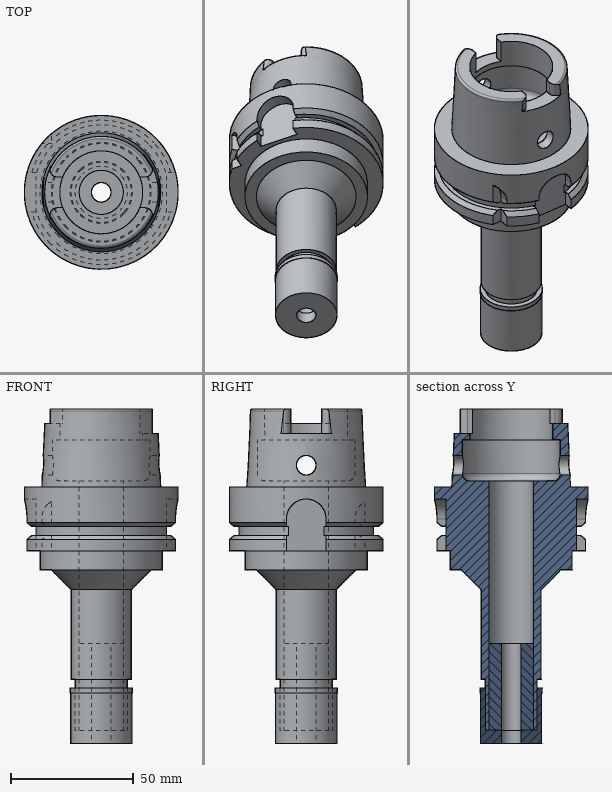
import cadquery as cq
import math

OVERALL_HEIGHT = 137.0
FLANGE_TOP = 105.1
GROOVE_UPPER_EDGE = FLANGE_TOP - 14.5
GROOVE_UPPER_WALL = FLANGE_TOP - 16.2
GROOVE_LOWER_WALL = FLANGE_TOP - 19.9
GROOVE_LOWER_EDGE = FLANGE_TOP - 21.5
FLANGE_BOTTOM = FLANGE_TOP - 26.2
COLLAR_BOTTOM = FLANGE_TOP - 34.0
SHANK_TOP = FLANGE_TOP - 42.0
SHANK_BOTTOM = 26.3
NUT_TOP = 22.9
NUT_BAND_BOTTOM = 20.8
NUT_LIP_HEIGHT = 5.5

TAPER_TOP_RADIUS = 22.9
TAPER_BASE_RADIUS = 24.4
TAPER_EDGE_ROUNDING = 1.0
FLANGE_RADIUS = 31.5
GROOVE_CHAMFER = 1.9
GROOVE_RADIUS = 27.7
COLLAR_RADIUS = 25.1
SHANK_RADIUS = 12.3
CONE_TOP_RADIUS = SHANK_RADIUS + COLLAR_BOTTOM - SHANK_TOP
NECK_RADIUS = 10.7

MOUTH_RADIUS = 17.0
MOUTH_DEPTH = 12.6
CHAMBER_RADIUS = 20.0
CHAMBER_ROUNDING = CHAMBER_RADIUS - MOUTH_RADIUS
CHAMBER_FLOOR = 107.5

DRIVE_SLOT_HALF_WIDTH = 6.3
DRIVE_SLOT_ROUNDING = 3.0
DRIVE_SLOT_FLAT = 21.0
SHALLOW_SLOT_DEPTH = 5.9
DEEP_SLOT_DEPTH = 10.0

CROSS_HOLE_RADIUS = 4.0
CROSS_HOLE_HEIGHT = FLANGE_TOP + 8.9

KEYWAY_HALF_WIDTH = 8.1
KEYWAY_END_CENTRE = FLANGE_TOP - 5.0 - KEYWAY_HALF_WIDTH
KEYWAY_FLOOR = 26.7
NOTCH_FLOOR = 20.3
NOTCH_NEAR_SIDE = 20.0

COLLET_RADIUS = 9.0
COLLET_LENGTH = 35.6
TOOL_BORE_RADIUS = 4.0
NUT_RADIUS = 12.6
NUT_BAND_RADIUS = 12.7

CLEARANCE = 6.8


def cylinder(radius, bottom, top):
    return cq.Workplane("XY").workplane(offset=bottom).circle(radius).extrude(top - bottom)


def holder_blank():
    outline = [
        (0, NUT_LIP_HEIGHT),
        (NECK_RADIUS, NUT_LIP_HEIGHT),
        (NECK_RADIUS, SHANK_BOTTOM),
        (SHANK_RADIUS, SHANK_BOTTOM),
        (SHANK_RADIUS, SHANK_TOP),
        (CONE_TOP_RADIUS, COLLAR_BOTTOM),
        (COLLAR_RADIUS, COLLAR_BOTTOM),
        (COLLAR_RADIUS, FLANGE_BOTTOM),
        (FLANGE_RADIUS, FLANGE_BOTTOM),
        (FLANGE_RADIUS, GROOVE_LOWER_EDGE),
        (FLANGE_RADIUS - GROOVE_CHAMFER, GROOVE_LOWER_WALL),
        (GROOVE_RADIUS, GROOVE_LOWER_WALL),
        (GROOVE_RADIUS, GROOVE_UPPER_WALL),
        (FLANGE_RADIUS - GROOVE_CHAMFER, GROOVE_UPPER_WALL),
        (FLANGE_RADIUS, GROOVE_UPPER_EDGE),
        (FLANGE_RADIUS, FLANGE_TOP),
        (TAPER_BASE_RADIUS, FLANGE_TOP),
        (TAPER_TOP_RADIUS, OVERALL_HEIGHT),
        (0, OVERALL_HEIGHT),
    ]
    blank = cq.Workplane("XZ").polyline(outline).close().revolve(360, (0, 0, 0), (0, 1, 0))
    return blank.faces(">Z").edges().fillet(TAPER_EDGE_ROUNDING)


def clamping_cavity():
    mouth = cylinder(MOUTH_RADIUS, CHAMBER_FLOOR, OVERALL_HEIGHT)
    chamber = cylinder(CHAMBER_RADIUS, CHAMBER_FLOOR, OVERALL_HEIGHT - MOUTH_DEPTH)
    chamber = chamber.faces("<Z").edges().fillet(CHAMBER_ROUNDING)
    return mouth.union(chamber)


def drive_slot(side, depth):
    """Notch in the taper rim on the given X side, flaring through rounded corners to a flat."""
    inner_x = side * MOUTH_RADIUS / 2
    arc_start_x = side * (DRIVE_SLOT_FLAT - DRIVE_SLOT_ROUNDING)
    flat_x = side * DRIVE_SLOT_FLAT
    outer_x = side * (TAPER_BASE_RADIUS + CLEARANCE)
    half_width = DRIVE_SLOT_HALF_WIDTH
    arc_end_y = half_width + DRIVE_SLOT_ROUNDING
    outer_y = half_width + CLEARANCE
    inset = DRIVE_SLOT_ROUNDING * math.sqrt(0.5)
    arc_mid = (arc_start_x + side * inset, arc_end_y - inset)
    return (
        cq.Workplane("XY")
        .workplane(offset=OVERALL_HEIGHT - depth)
        .moveTo(inner_x, half_width)
        .lineTo(arc_start_x, half_width)
        .threePointArc(arc_mid, (flat_x, arc_end_y))
        .lineTo(flat_x, outer_y)
        .lineTo(outer_x, outer_y)
        .lineTo(outer_x, -outer_y)
        .lineTo(flat_x, -outer_y)
        .lineTo(flat_x, -arc_end_y)
        .threePointArc((arc_mid[0], -arc_mid[1]), (arc_start_x, -half_width))
        .lineTo(inner_x, -half_width)
        .close()
        .extrude(depth)
    )


def cross_hole():
    reach = TAPER_BASE_RADIUS + CLEARANCE
    return (
        cq.Workplane("YZ", origin=(-reach, 0, CROSS_HOLE_HEIGHT))
        .circle(CROSS_HOLE_RADIUS)
        .extrude(2 * reach)
    )


def round_ended_slot(side, floor, centre_y):
    """Upright slot in the flange, cut along X from the given side down to a flat floor."""
    depth = FLANGE_RADIUS + CLEARANCE - floor
    return (
        cq.Workplane("YZ", origin=(side * floor, centre_y, 0))
        .moveTo(-KEYWAY_HALF_WIDTH, FLANGE_BOTTOM)
        .lineTo(-KEYWAY_HALF_WIDTH, KEYWAY_END_CENTRE)
        .threePointArc(
            (0, KEYWAY_END_CENTRE + KEYWAY_HALF_WIDTH),
            (KEYWAY_HALF_WIDTH, KEYWAY_END_CENTRE),
        )
        .lineTo(KEYWAY_HALF_WIDTH, FLANGE_BOTTOM)
        .close()
        .extrude(side * depth)
    )


def make_holder():
    notch_centre = NOTCH_NEAR_SIDE + KEYWAY_HALF_WIDTH
    return (
        holder_blank()
        .cut(clamping_cavity())
        .cut(cylinder(COLLET_RADIUS, NUT_LIP_HEIGHT, CHAMBER_FLOOR))
        .cut(drive_slot(-1, SHALLOW_SLOT_DEPTH))
        .cut(drive_slot(1, DEEP_SLOT_DEPTH))
        .cut(cross_hole())
        .cut(round_ended_slot(-1, KEYWAY_FLOOR, 0))
        .cut(round_ended_slot(1, KEYWAY_FLOOR, 0))
        .cut(round_ended_slot(-1, NOTCH_FLOOR, notch_centre))
    )


def make_collet():
    """Sleeve in the holder bore, resting on the nut lip."""
    top = NUT_LIP_HEIGHT + COLLET_LENGTH
    sleeve = cylinder(COLLET_RADIUS, NUT_LIP_HEIGHT, top)
    return sleeve.cut(cylinder(TOOL_BORE_RADIUS, NUT_LIP_HEIGHT, top))


def make_nut():
    """Cap over the holder neck, with a slightly larger band at its rear edge."""
    body = cylinder(NUT_RADIUS, 0, NUT_BAND_BOTTOM)
    band = cylinder(NUT_BAND_RADIUS, NUT_BAND_BOTTOM, NUT_TOP)
    return (
        body.union(band)
        .cut(cylinder(NECK_RADIUS, NUT_LIP_HEIGHT, NUT_TOP))
        .cut(cylinder(TOOL_BORE_RADIUS, 0, NUT_LIP_HEIGHT))
    )


holder = make_holder()
collet = make_collet()
nut = make_nut()

result = cq.Compound.makeCompound([holder.val(), collet.val(), nut.val()])